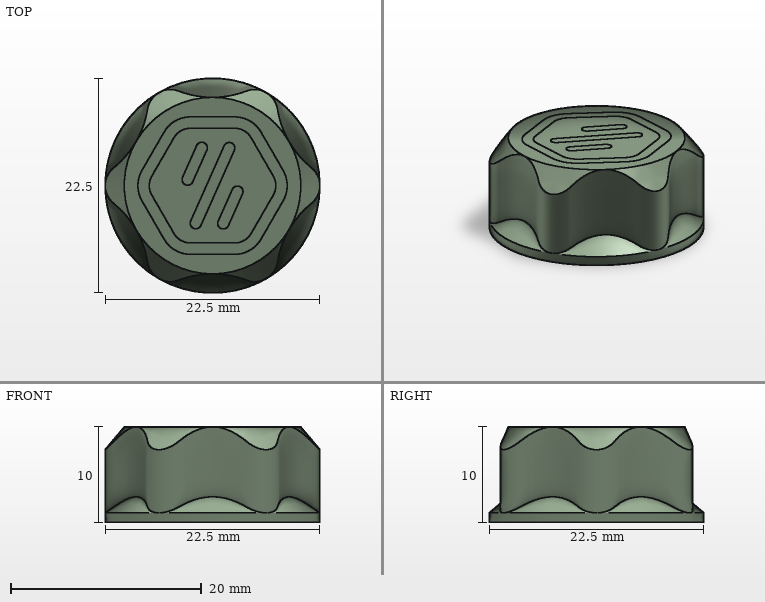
import cadquery as cq
import math

flange_radius = 11.25
flange_thickness = 1.0
knob_height = 10.0
top_radius = 9.25
top_cone_slope = 50.0
envelope_margin = 1.12
flange_cone_slope = 40.0

lobe_count = 6
lobe_pitch = 360.0 / lobe_count
lobe_radius = 2.4
lobe_center = flange_radius - lobe_radius
flute_depth_radius = top_radius

inlay_depth = 0.5
inlay_floor = knob_height - inlay_depth
hexagon_sides = 6
ring_outer_flat = 7.2
ring_inner_flat = 6.0
ring_inner_corner = 2.0
ring_outer_corner = ring_inner_corner + ring_outer_flat - ring_inner_flat
bar_width = 1.17
bar_slope = 66.0
long_bar_length = 9.79
short_bar_length = 4.82
short_bar_x = 1.87
short_bar_y = 2.3


def polar(radius, degrees):
    angle = math.radians(degrees)
    return (radius * math.cos(angle), radius * math.sin(angle))


def between(start, end, distance):
    """Point at a distance from start on the line towards end."""
    ratio = distance / math.dist(start, end)
    return (start[0] + ratio * (end[0] - start[0]), start[1] + ratio * (end[1] - start[1]))


def fluted_grip():
    """Prism whose outline alternates tangent lobe and flute arcs."""
    half_pitch = lobe_pitch / 2
    offset = flute_depth_radius - lobe_radius
    flute_center = (lobe_center**2 - offset**2) / (
        2 * lobe_center * math.cos(math.radians(half_pitch)) - 2 * offset
    )

    tangent_x, tangent_y = between((lobe_center, 0), polar(flute_center, half_pitch), lobe_radius)
    tangent_distance = math.hypot(tangent_x, tangent_y)
    tangent_angle = math.degrees(math.atan2(tangent_y, tangent_x))

    outline = cq.Workplane("XY").moveTo(*polar(tangent_distance, -tangent_angle))
    for lobe in range(lobe_count):
        angle = lobe * lobe_pitch
        outline = outline.threePointArc(
            polar(flange_radius, angle), polar(tangent_distance, angle + tangent_angle)
        ).threePointArc(
            polar(flute_depth_radius, angle + half_pitch),
            polar(tangent_distance, angle + lobe_pitch - tangent_angle),
        )
    return outline.close().extrude(knob_height)


def revolved_cone(base_radius, shoulder_z, end_radius, end_z):
    """Cylinder from the base up to the shoulder, then a cone up to the end."""
    half_section = [
        (0, 0),
        (base_radius, 0),
        (base_radius, shoulder_z),
        (end_radius, end_z),
        (0, end_z),
    ]
    return cq.Workplane("XZ").polyline(half_section).close().revolve(360, (0, 0), (0, 1))


def top_cone_envelope():
    """Everything below the conical shoulder that runs up to the top face."""
    outer_radius = flange_radius + envelope_margin
    shoulder_drop = (outer_radius - top_radius) * math.tan(math.radians(top_cone_slope))
    return revolved_cone(outer_radius, knob_height - shoulder_drop, top_radius, knob_height)


def flange():
    """Disc with a conical upper side that rises into the grip."""
    cone_top_radius = top_radius - lobe_radius
    cone_rise = (flange_radius - cone_top_radius) * math.tan(math.radians(flange_cone_slope))
    return revolved_cone(flange_radius, flange_thickness, cone_top_radius, flange_thickness + cone_rise)


def rounded_hexagon(flat_distance, corner_radius):
    """Hexagonal inlay block with corners on the X axis."""
    across_corners = 2 * flat_distance / math.cos(math.pi / hexagon_sides)
    return (
        cq.Workplane("XY", origin=(0, 0, inlay_floor))
        .polygon(hexagon_sides, across_corners)
        .extrude(inlay_depth)
        .edges("|Z")
        .fillet(corner_radius)
    )


def hexagon_ring():
    outer = rounded_hexagon(ring_outer_flat, ring_outer_corner)
    return outer.cut(rounded_hexagon(ring_inner_flat, ring_inner_corner))


def slanted_bar(x, y, length):
    return (
        cq.Workplane("XY", origin=(x, y, inlay_floor))
        .slot2D(length, bar_width, bar_slope)
        .extrude(inlay_depth)
    )


ring = hexagon_ring()

bars = []
for bar_x, bar_y, bar_length in [
    (-short_bar_x, short_bar_y, short_bar_length),
    (0, 0, long_bar_length),
    (short_bar_x, -short_bar_y, short_bar_length),
]:
    bars.append(slanted_bar(bar_x, bar_y, bar_length))

knob = fluted_grip().intersect(top_cone_envelope()).union(flange())
for inlay in [ring, *bars]:
    knob = knob.cut(inlay)

result = cq.Compound.makeCompound([body.solids().val() for body in [knob, ring, *bars]])